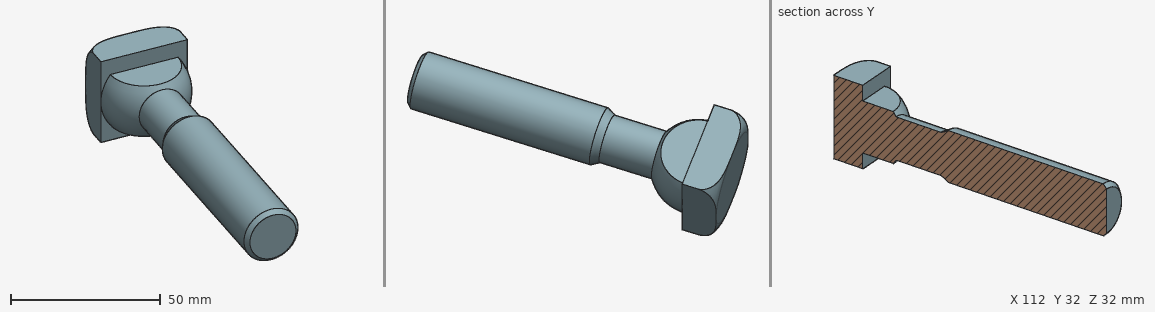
import cadquery as cq
import math

total_length = 112.0
head_width = 32.0
head_thickness = 12.0

shank_diameter = 20.0
shank_length = 65.0
shank_end_chamfer = 1.5
neck_diameter = 16.7
neck_cone_angle = 30.0

ball_radius = head_width / 2
collar_thickness = shank_diameter

shank_radius = shank_diameter / 2
neck_radius = neck_diameter / 2
shank_start = total_length - shank_length
neck_end = shank_start - (shank_radius - neck_radius) / math.tan(math.radians(neck_cone_angle))


def make_head():
    """Square head whose outer corners are rounded by a filleted cylinder through its edges."""
    block = cq.Workplane("YZ").rect(head_width, head_width).extrude(head_thickness)
    corner_radius = head_width / math.sqrt(2)
    corner_fillet = corner_radius - head_width / 2
    envelope = (
        cq.Workplane("YZ")
        .circle(corner_radius)
        .extrude(head_thickness)
        .faces("<X")
        .edges()
        .fillet(corner_fillet)
    )
    return block.intersect(envelope)


def make_collar():
    """Half ball behind the head, cut flat on top and bottom."""
    ball = cq.Workplane("XY").sphere(ball_radius).translate((head_thickness, 0, 0))
    slab = (
        cq.Workplane("XY")
        .box(ball_radius, head_width, collar_thickness, centered=(False, True, True))
        .translate((head_thickness, 0, 0))
    )
    return ball.intersect(slab)


def make_shaft():
    """Neck, cone and chamfered shank turned about the X axis."""
    return (
        cq.Workplane("XY")
        .moveTo(head_thickness, 0)
        .lineTo(head_thickness, -neck_radius)
        .lineTo(neck_end, -neck_radius)
        .lineTo(shank_start, -shank_radius)
        .lineTo(total_length - shank_end_chamfer, -shank_radius)
        .lineTo(total_length, -(shank_radius - shank_end_chamfer))
        .lineTo(total_length, 0)
        .close()
        .revolve(360, (0, 0, 0), (1, 0, 0))
    )


result = make_head().union(make_collar()).union(make_shaft())